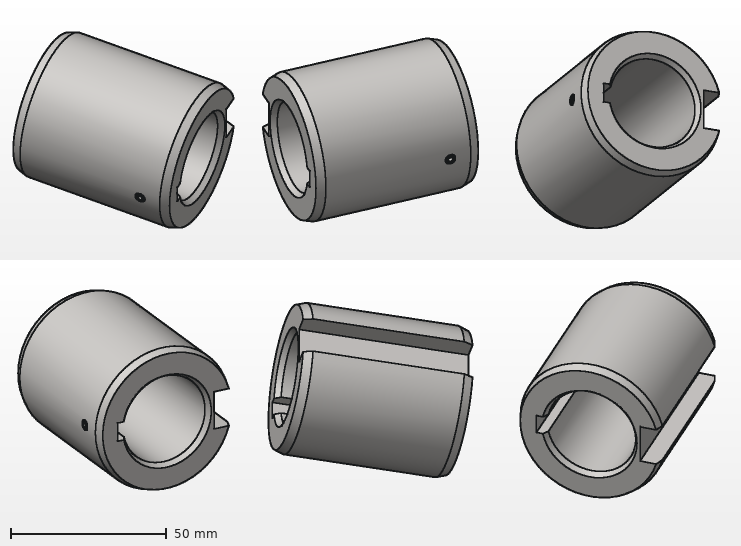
import cadquery as cq

LENGTH = 56.0
OUTER_DIAMETER = 49.2
OUTER_RADIUS = OUTER_DIAMETER / 2
OUTER_CHAMFER_LENGTH = 3.0
OUTER_CHAMFER_DEPTH = 1.0
BORE_RADIUS = 15.0
BORE_CHAMFER_LENGTH = 2.0
BORE_CHAMFER_DEPTH = 1.2

SLOT_WIDTH = 13.0
SLOT_FLOOR_Y = 17.25
KEYWAY_WIDTH = 6.4
KEYWAY_FLOOR_Y = -18.05

SCREW_X = 46.0
SCREW_RADIUS = 1.75
SCREW_PROTRUSION = 0.035
SCREW_CHAMFER = 0.55
SOCKET_RADIUS = 0.8
SOCKET_DEPTH = 1.7
SCREW_LENGTH = OUTER_RADIUS + SCREW_PROTRUSION + KEYWAY_FLOOR_Y


def radial_cylinder(start_y, radius, length):
    """Cylinder at the screw position, growing from start_y toward -Y."""
    return (
        cq.Workplane("XZ", origin=(SCREW_X, start_y, 0))
        .circle(radius)
        .extrude(length)
    )


def make_sleeve_blank():
    """Revolved ring with tapered outer ends and a chamfered bore."""
    end_outer_radius = OUTER_RADIUS - OUTER_CHAMFER_DEPTH
    end_bore_radius = BORE_RADIUS + BORE_CHAMFER_DEPTH
    return (
        cq.Workplane("XY")
        .moveTo(0, end_bore_radius)
        .lineTo(0, end_outer_radius)
        .lineTo(OUTER_CHAMFER_LENGTH, OUTER_RADIUS)
        .lineTo(LENGTH - OUTER_CHAMFER_LENGTH, OUTER_RADIUS)
        .lineTo(LENGTH, end_outer_radius)
        .lineTo(LENGTH, end_bore_radius)
        .lineTo(LENGTH - BORE_CHAMFER_LENGTH, BORE_RADIUS)
        .lineTo(BORE_CHAMFER_LENGTH, BORE_RADIUS)
        .close()
        .revolve(360, (0, 0, 0), (1, 0, 0))
    )


def make_slot_cutter():
    """Full-length block reaching from the slot floor to the outer radius."""
    depth = OUTER_RADIUS - SLOT_FLOOR_Y
    return (
        cq.Workplane("XY", origin=(0, SLOT_FLOOR_Y, 0))
        .box(LENGTH, depth, SLOT_WIDTH, centered=(False, False, True))
    )


def make_keyway_cutter():
    """Full-length block reaching from the keyway floor to the bore axis."""
    return (
        cq.Workplane("XY", origin=(0, KEYWAY_FLOOR_Y, 0))
        .box(LENGTH, -KEYWAY_FLOOR_Y, KEYWAY_WIDTH, centered=(False, False, True))
    )


def make_sleeve():
    screw_hole = radial_cylinder(KEYWAY_FLOOR_Y, SCREW_RADIUS, SCREW_LENGTH)
    return (
        make_sleeve_blank()
        .cut(make_slot_cutter())
        .cut(make_keyway_cutter())
        .cut(screw_hole)
    )


def make_set_screw():
    """Plain screw body with a chamfered outer end and a blind round socket."""
    body = (
        radial_cylinder(KEYWAY_FLOOR_Y, SCREW_RADIUS, SCREW_LENGTH)
        .faces("<Y")
        .chamfer(SCREW_CHAMFER)
    )
    socket_floor_y = KEYWAY_FLOOR_Y - SCREW_LENGTH + SOCKET_DEPTH
    return body.cut(radial_cylinder(socket_floor_y, SOCKET_RADIUS, SOCKET_DEPTH))


sleeve = make_sleeve()
set_screw = make_set_screw()

result = cq.Compound.makeCompound([sleeve.val(), set_screw.val()])